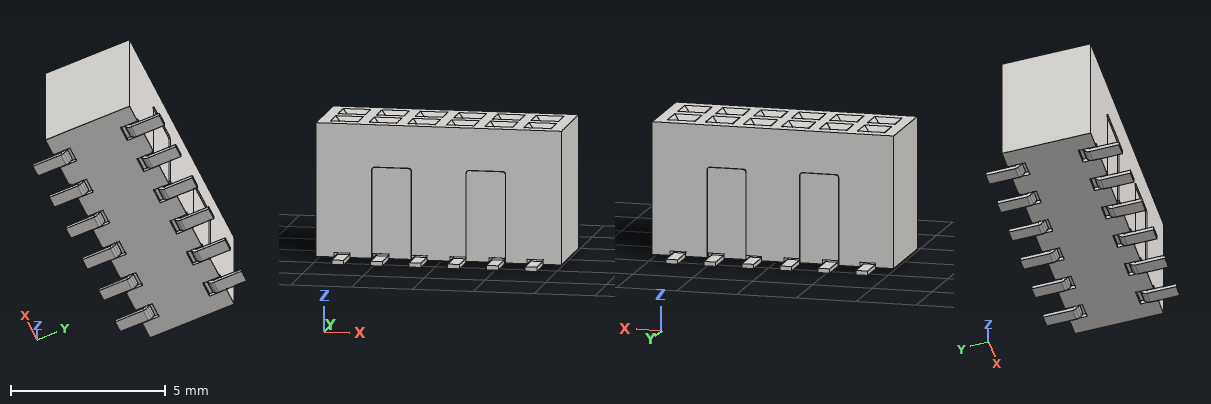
import cadquery as cq
import math

pitch = 1.27
columns = 6
body_length = 8.08
body_width = 3.0
overall_width = 4.5
overall_height = 4.5
standoff = 0.1
body_height = overall_height - standoff
top_z = overall_height / 2
seat_z = -overall_height / 2
body_bottom_z = seat_z + standoff

socket_mouth = 0.9
socket_floor = 0.5
socket_depth = 0.2

panel_width = 1.3
panel_height = 3.0
panel_depth = 0.05
panel_corner_radius = 0.1
panel_offset_x = 1.55

lead_width = 0.4
lead_thickness = 0.15
lead_bend_y = 1.25
lead_slope_rise = 0.07
lead_embedment = 0.1
slot_width = 0.52
slot_height = 0.15
slot_inner_y = 0.9

column_xs = [(i - (columns - 1) / 2) * pitch for i in range(columns)]
row_ys = [-pitch / 2, pitch / 2]
z_axis = ((0, 0, 0), (0, 0, 1))
side_angles = [0, 180]


def make_body():
    return (
        cq.Workplane("XY", origin=(0, 0, body_bottom_z))
        .box(body_length, body_width, body_height, centered=(True, True, False))
    )


def make_socket(x, y):
    """Square socket with walls tapering down to a smaller flat floor."""
    return (
        cq.Workplane("XY", origin=(x, y, top_z))
        .rect(socket_mouth, socket_mouth)
        .workplane(offset=-socket_depth)
        .rect(socket_floor, socket_floor)
        .loft(ruled=True)
    )


def make_panel(x):
    """Recess in the +Y side, open at the underside, with rounded upper corners."""
    outer_y = body_width / 2
    return (
        cq.Workplane("XY", origin=(x, outer_y - panel_depth, body_bottom_z))
        .box(panel_width, panel_depth, panel_height, centered=(True, False, False))
        .edges("|Y and >Z")
        .fillet(panel_corner_radius)
    )


def make_slot(x):
    """Slot in the underside, open to the +Y side."""
    slot_length = body_width / 2 - slot_inner_y
    return (
        cq.Workplane("XY", origin=(x, slot_inner_y, body_bottom_z))
        .box(slot_width, slot_length, slot_height, centered=(True, False, False))
    )


def make_lead(x):
    """Lead on the +Y side: a flat foot bent up at 45 degrees and then vertical into the body.

    Each bend has a sharp crease on the upper face and an arc of one lead thickness below it.
    """
    t = lead_thickness
    slope_angle = math.radians(45)

    def below_crease(crease, turned):
        """Point on the lower face, one thickness from a crease, after turning by an angle."""
        y, z = crease
        return (y - t * math.sin(turned), z - t * math.cos(turned))

    foot_end_y = overall_width / 2
    foot_top_z = seat_z + t
    buried_end_z = body_bottom_z + slot_height + lead_embedment
    lower_crease = (lead_bend_y, foot_top_z)
    upper_crease = (lead_bend_y - lead_slope_rise, foot_top_z + lead_slope_rise)

    return (
        cq.Workplane("YZ", origin=(x - lead_width / 2, 0, 0))
        .moveTo(foot_end_y, seat_z)
        .lineTo(foot_end_y, foot_top_z)
        .lineTo(*lower_crease)
        .lineTo(*upper_crease)
        .lineTo(upper_crease[0], buried_end_z)
        .lineTo(upper_crease[0] - t, buried_end_z)
        .lineTo(*below_crease(upper_crease, 2 * slope_angle))
        .threePointArc(
            below_crease(upper_crease, 1.5 * slope_angle),
            below_crease(upper_crease, slope_angle),
        )
        .lineTo(*below_crease(lower_crease, slope_angle))
        .threePointArc(
            below_crease(lower_crease, 0.5 * slope_angle),
            below_crease(lower_crease, 0),
        )
        .close()
        .extrude(lead_width)
    )


result = make_body()

for x in column_xs:
    for y in row_ys:
        result = result.cut(make_socket(x, y))

for turn in side_angles:
    for x in (-panel_offset_x, panel_offset_x):
        result = result.cut(make_panel(x).rotate(*z_axis, turn))
    for x in column_xs:
        result = result.cut(make_slot(x).rotate(*z_axis, turn))
        result = result.union(make_lead(x).rotate(*z_axis, turn))